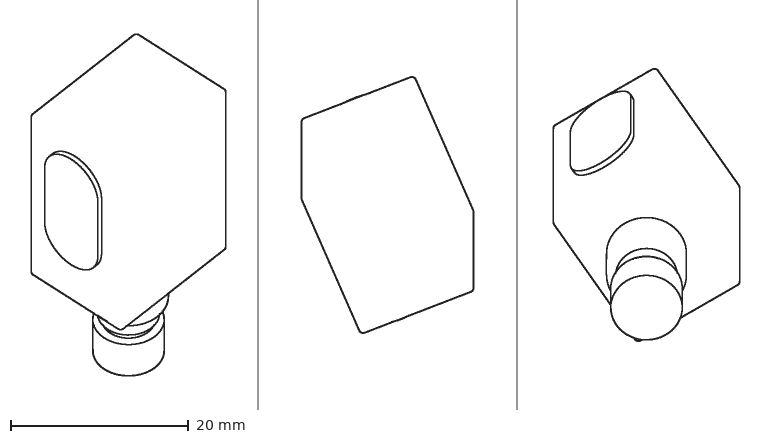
import cadquery as cq

body_width = 13.9
body_depth = 17.97
body_height = 25.4
body_edge_radius = 0.5

total_depth = 18.6
pad_width = 8.05
pad_height = 16.75
pad_top_gap = 2.0
pad_thickness = total_depth - body_depth

total_height = 39.5
collar_diameter = 9.0
collar_length = 5.95
collar_edge_radius = 0.5
neck_diameter = 7.0
neck_length = 2.17
groove_diameter = 6.0
groove_length = 1.0
plug_diameter = 8.05
plug_length = total_height - body_height - collar_length - neck_length - groove_length


def make_body():
    """Block with rounded edges, standing on Z = 0 and centred on the Z axis."""
    block = cq.Workplane("XY").box(body_width, body_depth, body_height, centered=(True, True, False))
    return block.edges().fillet(body_edge_radius)


def make_pad():
    """Upright obround pad standing proud of the front face."""
    pad_center_z = body_height - pad_top_gap - pad_height / 2
    return (
        cq.Workplane("XZ", origin=(0, -body_depth / 2, pad_center_z))
        .slot2D(pad_height, pad_width, angle=90)
        .extrude(pad_thickness)
    )


def make_cylinder(diameter, length, top_z):
    """Cylinder on the Z axis that hangs down from top_z."""
    return cq.Workplane("XY", origin=(0, 0, top_z)).circle(diameter / 2).extrude(-length)


def make_stem():
    """Collar with a rounded lower rim, then the neck, groove and plug."""
    stem = make_cylinder(collar_diameter, collar_length, 0).faces("<Z").edges().fillet(collar_edge_radius)
    top_z = -collar_length
    for diameter, length in (
        (neck_diameter, neck_length),
        (groove_diameter, groove_length),
        (plug_diameter, plug_length),
    ):
        stem = stem.union(make_cylinder(diameter, length, top_z))
        top_z -= length
    return stem


result = make_body().union(make_pad()).union(make_stem())